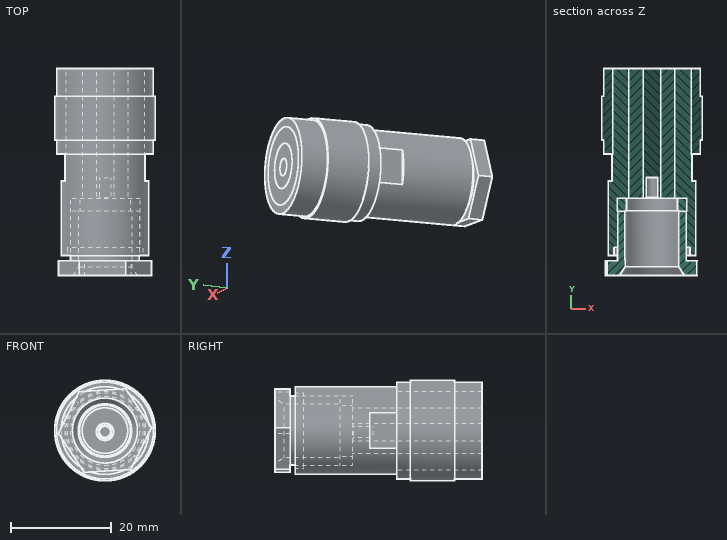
import cadquery as cq
import math

LENGTH = 41.05

HEX_ACROSS_FLATS = 16.0
NUT_TURN = 3.5
HEX_LENGTH = 3.0
NECK_RADIUS = 6.85
NECK_LENGTH = 9.85
CABLE_RADIUS = 5.3
CABLE_MOUTH_RADIUS = 6.45
CABLE_MOUTH_DEPTH = 1.72

BODY_RADIUS = 8.7
SPIGOT_RADIUS = 7.8
BODY_GAP = 1.0
WRENCH_FLAT_OFFSET = 7.95
WRENCH_FLAT_LENGTH = 5.3
REAR_RECESS_RADIUS = 7.5
REAR_RECESS_DEPTH = 1.65
BODY_START = HEX_LENGTH + BODY_GAP

COUPLING_START = 24.1
COUPLING_RADIUS = 9.6
GRIP_DIAMETER = 20.0
GRIP_RADIUS = GRIP_DIAMETER / 2
GRIP_START = 26.85
GRIP_LENGTH = 8.75

GASKET_INNER_RADIUS = 5.05
GASKET_LENGTH = 2.45
GASKET_START = HEX_LENGTH + NECK_LENGTH
SHOULDER = GASKET_START + GASKET_LENGTH

INSULATOR_RADIUS = 4.5
CONTACT_RADIUS = 1.72
CONTACT_DROP = 0.25
SOLDER_HOLE_RADIUS = 1.1
SOLDER_HOLE_DEPTH = 4.1
SOLDER_HOLE_CHAMFER = 0.25


def cylinder(radius, start, end):
    """Solid cylinder on the Y axis between two Y positions."""
    base = cq.Workplane("XZ", origin=(0, start, 0))
    return base.circle(radius).extrude(start - end)


def tube(outer_radius, inner_radius, start, end):
    return cylinder(outer_radius, start, end).cut(cylinder(inner_radius, start, end))


def cone(start_radius, end_radius, start, end):
    """Solid cone frustum on the Y axis between two Y positions."""
    solid = cq.Solid.makeCone(
        start_radius, end_radius, end - start, pnt=cq.Vector(0, start, 0), dir=cq.Vector(0, 1, 0)
    )
    return cq.Workplane(obj=solid)


def make_clamp_nut():
    hex_diameter = HEX_ACROSS_FLATS / math.cos(math.pi / 6)
    head = cq.Workplane("XZ").polygon(6, hex_diameter).extrude(-HEX_LENGTH)
    neck = cylinder(NECK_RADIUS, HEX_LENGTH, GASKET_START)
    bore = cylinder(CABLE_RADIUS, 0, GASKET_START)
    mouth = cone(CABLE_MOUTH_RADIUS, CABLE_RADIUS, 0, CABLE_MOUTH_DEPTH)
    nut = head.union(neck).cut(bore).cut(mouth)
    return nut.rotate((0, 0, 0), (0, 1, 0), -NUT_TURN)


def make_body():
    body = cylinder(BODY_RADIUS, BODY_START, COUPLING_START)
    body = body.union(cylinder(SPIGOT_RADIUS, COUPLING_START, LENGTH))
    body = body.cut(cylinder(NECK_RADIUS, BODY_START, SHOULDER))
    body = body.cut(cylinder(REAR_RECESS_RADIUS, BODY_START, BODY_START + REAR_RECESS_DEPTH))
    body = body.cut(cylinder(INSULATOR_RADIUS, SHOULDER, LENGTH))
    for side in (-1, 1):
        cutter = cq.Workplane("XY").box(BODY_RADIUS, WRENCH_FLAT_LENGTH, 2 * BODY_RADIUS)
        flat_x = side * (WRENCH_FLAT_OFFSET + BODY_RADIUS / 2)
        flat_y = COUPLING_START - WRENCH_FLAT_LENGTH / 2
        body = body.cut(cutter.translate((flat_x, flat_y, 0)))
    return body


def make_coupling_sleeve():
    sleeve = tube(COUPLING_RADIUS, SPIGOT_RADIUS, COUPLING_START, LENGTH)
    grip = tube(GRIP_RADIUS, SPIGOT_RADIUS, GRIP_START, GRIP_START + GRIP_LENGTH)
    return sleeve.union(grip)


def make_gasket():
    return tube(NECK_RADIUS, GASKET_INNER_RADIUS, GASKET_START, SHOULDER)


def make_insulator():
    contact_hole = cylinder(CONTACT_RADIUS, SHOULDER, LENGTH).translate((0, 0, -CONTACT_DROP))
    return cylinder(INSULATOR_RADIUS, SHOULDER, LENGTH).cut(contact_hole)


def make_contact():
    contact = cylinder(CONTACT_RADIUS, SHOULDER, LENGTH)
    hole = cylinder(SOLDER_HOLE_RADIUS, SHOULDER, SHOULDER + SOLDER_HOLE_DEPTH)
    entry = cone(
        SOLDER_HOLE_RADIUS + SOLDER_HOLE_CHAMFER,
        SOLDER_HOLE_RADIUS,
        SHOULDER,
        SHOULDER + SOLDER_HOLE_CHAMFER,
    )
    return contact.cut(hole).cut(entry).translate((0, 0, -CONTACT_DROP))


clamp_nut = make_clamp_nut()
body = make_body()
coupling_sleeve = make_coupling_sleeve()
gasket = make_gasket()
insulator = make_insulator()
contact = make_contact()

result = cq.Compound.makeCompound(
    [
        clamp_nut.val(),
        body.val(),
        coupling_sleeve.val(),
        gasket.val(),
        insulator.val(),
        contact.val(),
    ]
)